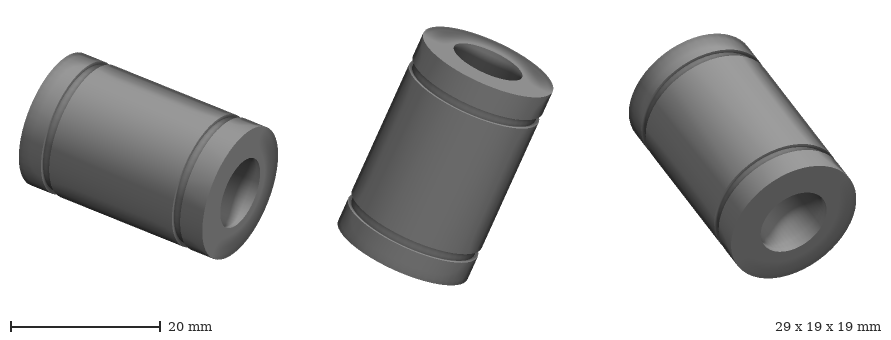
import cadquery as cq

length = 29.0
outer_diameter = 19.0
bore_diameter = 10.0

groove_diameter = 18.0
groove_width = 1.3
groove_span = 22.0


def cylinder_along_x(diameter, width, center_x):
    """Solid cylinder on the X axis, centred at center_x."""
    start = cq.Workplane("YZ").workplane(offset=center_x - width / 2)
    return start.circle(diameter / 2).extrude(width)


def groove_ring(center_x):
    """Ring of material removed to form one groove."""
    blank = cylinder_along_x(outer_diameter, groove_width, center_x)
    core = cylinder_along_x(groove_diameter, groove_width, center_x)
    return blank.cut(core)


sleeve = cylinder_along_x(outer_diameter, length, 0)
sleeve = sleeve.cut(cylinder_along_x(bore_diameter, length, 0))

groove_center = (groove_span - groove_width) / 2
for side in (-1, 1):
    sleeve = sleeve.cut(groove_ring(side * groove_center))

result = sleeve